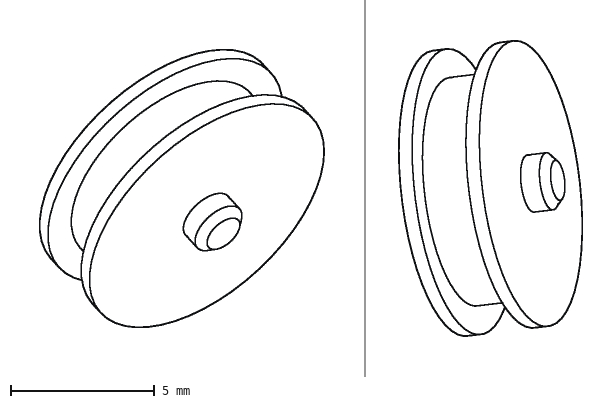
import cadquery as cq

flange_diameter = 10
flange_thickness = 0.5
hub_diameter = 8
hub_width = 2
axle_diameter = 2
axle_length = 5
axle_chamfer = 0.3


def cylinder_along_x(diameter, length):
    """Cylinder on the X axis, centred on the origin."""
    return cq.Workplane("YZ", origin=(-length / 2, 0, 0)).circle(diameter / 2).extrude(length)


hub = cylinder_along_x(hub_diameter, hub_width)

axle = cylinder_along_x(axle_diameter, axle_length).faces("<X or >X").chamfer(axle_chamfer)

result = hub.union(axle)

flange_offset = (hub_width + flange_thickness) / 2
for side in (-1, 1):
    flange = cylinder_along_x(flange_diameter, flange_thickness)
    result = result.union(flange.translate((side * flange_offset, 0, 0)))